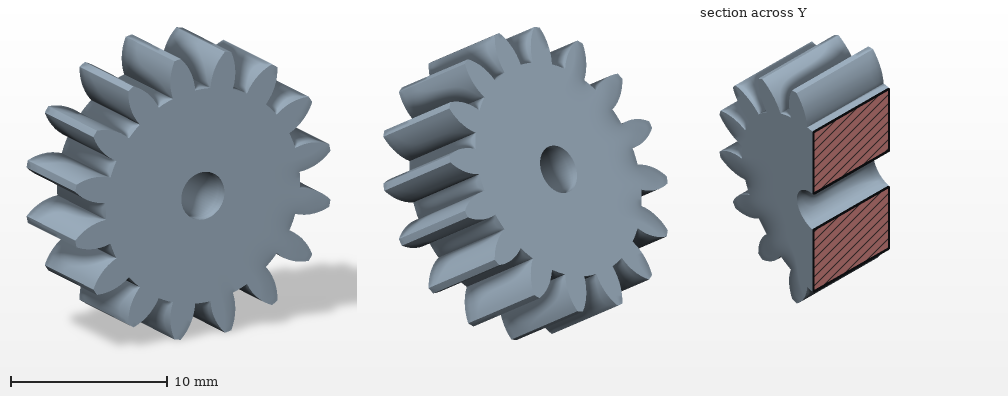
import cadquery as cq
import math

MM_PER_INCH = 25.4
TOOTH_COUNT = 16
DIAMETRAL_PITCH = 24
FACE_WIDTH = MM_PER_INCH / 4
BORE_DIAMETER = MM_PER_INCH / 8

MODULE = MM_PER_INCH / DIAMETRAL_PITCH
PITCH_RADIUS = MODULE * TOOTH_COUNT / 2
TIP_RADIUS = PITCH_RADIUS + MODULE
DEDENDUM_FACTOR = 1.25
ROOT_RADIUS = PITCH_RADIUS - DEDENDUM_FACTOR * MODULE

ROOT_HALF_ANGLE = 6.72
PITCH_HALF_ANGLE = 5.09
TIP_HALF_ANGLE = 1.42

TOOTH_STEP = 360 / TOOTH_COUNT
FIRST_TOOTH_ANGLE = TOOTH_STEP / 2


def polar(radius, angle):
    """Point in the YZ plane at an angle in degrees from +Y."""
    radians = math.radians(angle)
    return radius * math.cos(radians), radius * math.sin(radians)


def add_tooth(outline, center):
    """Add one tooth and the root arc that leads to the next tooth."""
    next_root_angle = center + TOOTH_STEP - ROOT_HALF_ANGLE
    return (
        outline
        .threePointArc(
            polar(PITCH_RADIUS, center - PITCH_HALF_ANGLE),
            polar(TIP_RADIUS, center - TIP_HALF_ANGLE),
        )
        .threePointArc(
            polar(TIP_RADIUS, center),
            polar(TIP_RADIUS, center + TIP_HALF_ANGLE),
        )
        .threePointArc(
            polar(PITCH_RADIUS, center + PITCH_HALF_ANGLE),
            polar(ROOT_RADIUS, center + ROOT_HALF_ANGLE),
        )
        .threePointArc(
            polar(ROOT_RADIUS, center + TOOTH_STEP / 2),
            polar(ROOT_RADIUS, next_root_angle),
        )
    )


def make_gear_blank():
    """Toothed disc without its bore."""
    start = polar(ROOT_RADIUS, FIRST_TOOTH_ANGLE - ROOT_HALF_ANGLE)
    outline = cq.Workplane("YZ").moveTo(*start)
    for index in range(TOOTH_COUNT):
        outline = add_tooth(outline, FIRST_TOOTH_ANGLE + index * TOOTH_STEP)
    return outline.close().extrude(FACE_WIDTH)


def make_bore():
    """Cylinder that clears the shaft hole through the full face width."""
    return cq.Workplane("YZ").circle(BORE_DIAMETER / 2).extrude(FACE_WIDTH)


result = make_gear_blank().cut(make_bore())